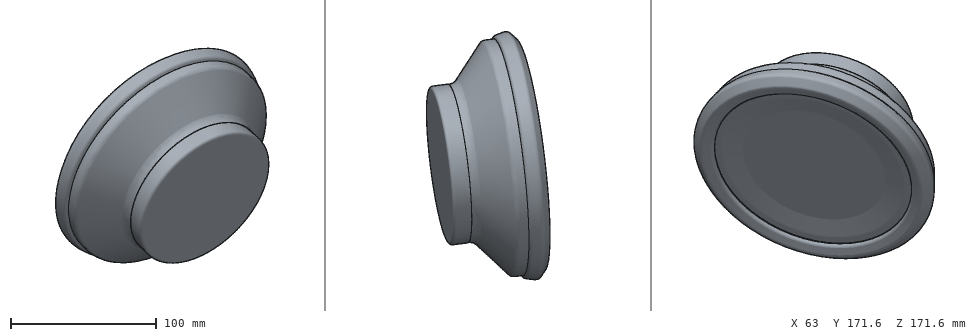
import cadquery as cq
import math


flange_diameter = 164.0
flange_radius = flange_diameter / 2
face_station = 4.6

dish_end_station = 63.0
shoulder_station = 22.8
shoulder_fillet = 4.1
neck_diameter = 109.5
neck_radius = neck_diameter / 2
neck_station = 46.0
neck_fillet = 7.2
collar_diameter = 110.0
collar_radius = collar_diameter / 2
collar_station = 50.3
collar_fillet = 2.2
recess_rim_radius = 65.5
recess_rim_fillet = 6.9
recess_floor_radius = 51.0
recess_depth = 2.5

ring_radius = 85.8
ring_end_station = 15.3
front_outer_radius = 80.0
front_inner_radius = 78.0
chamfer_end_station = 5.2
chamfer_fillet = 2.4
taper_start_station = 7.7
taper_end_station = 14.0
taper_end_radius = 84.1
rear_fillet = 2.2
lip_radius = 72.0
lip_angle = 15.0
lip_fillet = 1.5
bore_radius = 70.5
bore_land = 0.7

match_tolerance = 0.02


def turn(profile):
    """Revolve a closed list of (station, radius) points about the X axis."""
    return cq.Workplane("XY").polyline(profile).close().revolve(360, (0, 0, 0), (1, 0, 0))


def round_corner(body, corner, fillet):
    """Fillet the circular edge that passes through a (station, radius) corner."""
    station, radius = corner

    def is_corner(edge):
        same_station = abs(edge.Center().x - station) < match_tolerance
        return edge.geomType() == "CIRCLE" and same_station and abs(edge.radius() - radius) < match_tolerance

    return body.newObject(body.edges().filter(is_corner).vals()).fillet(fillet)


def make_dish():
    shoulder = (shoulder_station, flange_radius)
    neck = (neck_station, neck_radius)
    collar_end = (dish_end_station, collar_radius)
    recess_rim = (face_station, recess_rim_radius)
    floor_station = face_station + recess_depth
    dish = turn([
        (floor_station, 0),
        (floor_station, recess_floor_radius),
        recess_rim,
        (face_station, flange_radius),
        shoulder,
        neck,
        (collar_station, neck_radius),
        (collar_station, collar_radius),
        collar_end,
        (dish_end_station, 0),
    ])
    dish = round_corner(dish, shoulder, shoulder_fillet)
    dish = round_corner(dish, neck, neck_fillet)
    dish = round_corner(dish, collar_end, collar_fillet)
    return round_corner(dish, recess_rim, recess_rim_fillet)


def make_ring():
    lip_station = (front_inner_radius - lip_radius) * math.tan(math.radians(lip_angle))
    front_outer = (0, front_outer_radius)
    chamfer_end = (chamfer_end_station, ring_radius)
    rear = (taper_end_station, taper_end_radius)
    lip = (lip_station, lip_radius)
    ring = turn([
        lip,
        (0, front_inner_radius),
        front_outer,
        chamfer_end,
        (taper_start_station, ring_radius),
        rear,
        (ring_end_station, flange_radius),
        (face_station, flange_radius),
        (face_station, bore_radius),
        (face_station - bore_land, bore_radius),
    ])
    ring = round_corner(ring, front_outer, chamfer_fillet)
    ring = round_corner(ring, chamfer_end, chamfer_fillet)
    ring = round_corner(ring, rear, rear_fillet)
    return round_corner(ring, lip, lip_fillet)


dish = make_dish()
ring = make_ring()
result = cq.Compound.makeCompound([dish.val(), ring.val()])